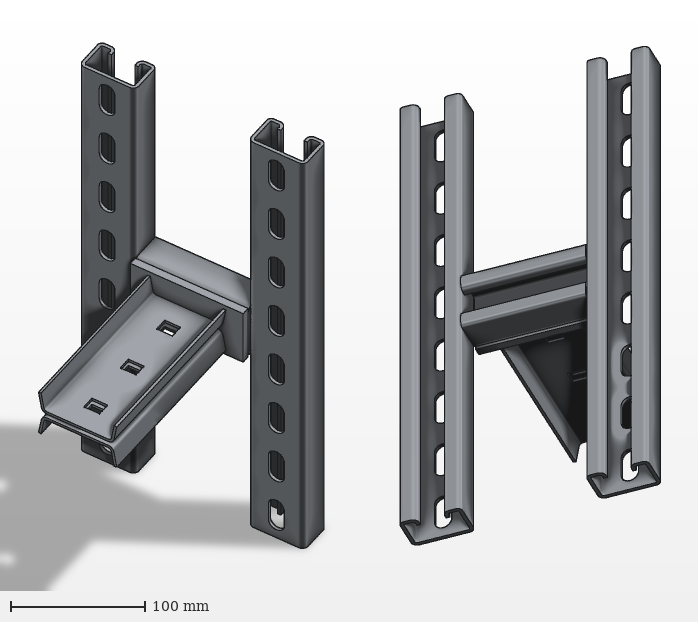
import cadquery as cq
import math


strut_width = 50.0
strut_depth = 29.8
strut_wall = 2.98
strut_opening = 20.5
lip_length = 7.5
inner_bend_radius = 2.0
outer_bend_radius = strut_wall + inner_bend_radius
back_bend_radius = 4.0

post_height = 397
crossbar_length = 100.0

slot_count = 8
slot_pitch = 50.0
slot_length = 30.0
slot_width = 14.0

plate_width = crossbar_length
plate_height = strut_width
plate_thickness = 6.7

arm_length = 150.0
arm_wall = 2.5
arm_height = 19.0
arm_tip_width = 69.5
arm_flange_lean = 10
arm_bend_radius = 5.5
arm_gap = 4.0

hole_count = 3
hole_pitch = arm_length / hole_count
hole_width = 14.0
hole_length = 11.0


def toward(start, end, distance):
    """Point at the given distance from start on the way to end."""
    ratio = distance / math.dist(start, end)
    return (start[0] + (end[0] - start[0]) * ratio, start[1] + (end[1] - start[1]) * ratio)


def left_normal(start, end):
    """Unit vector at 90 degrees to the left of the direction from start to end."""
    length = math.dist(start, end)
    return ((start[1] - end[1]) / length, (end[0] - start[0]) / length)


def shifted(point, direction, distance):
    """Point moved by the given distance along a unit vector."""
    return (point[0] + direction[0] * distance, point[1] + direction[1] * distance)


def folded_sheet(workplane, centreline, bend_radii, wall, length):
    """Extrude a bent sheet whose mid-thickness line follows the centreline.

    Every corner between its ends turns left, and bend_radii lists their outer radii in order.
    """
    inner_arcs = []
    outer_arcs = []
    corners = zip(centreline, centreline[1:], centreline[2:], bend_radii)
    for before, corner, after, outer_radius in corners:
        middle_radius = outer_radius - wall / 2
        entry_normal = left_normal(before, corner)
        exit_normal = left_normal(corner, after)
        half_turn = math.acos(entry_normal[0] * exit_normal[0] + entry_normal[1] * exit_normal[1]) / 2
        entry_point = toward(corner, before, middle_radius * math.tan(half_turn))
        centre = shifted(entry_point, entry_normal, middle_radius)
        exit_point = shifted(centre, exit_normal, -middle_radius)
        middle_normal = left_normal(entry_point, exit_point)
        normals = (entry_normal, middle_normal, exit_normal)
        outer_arcs.append([shifted(centre, normal, -outer_radius) for normal in normals])
        inner_arcs.append([shifted(centre, normal, wall - outer_radius) for normal in normals])

    start_normal = left_normal(*centreline[:2])
    end_normal = left_normal(*centreline[-2:])
    outline = workplane.moveTo(*shifted(centreline[0], start_normal, -wall / 2))
    for start, middle, end in outer_arcs:
        outline = outline.lineTo(*start).threePointArc(middle, end)
    outline = outline.lineTo(*shifted(centreline[-1], end_normal, -wall / 2))
    outline = outline.lineTo(*shifted(centreline[-1], end_normal, wall / 2))
    for start, middle, end in reversed(inner_arcs):
        outline = outline.lineTo(*end).threePointArc(middle, start)
    outline = outline.lineTo(*shifted(centreline[0], start_normal, wall / 2))
    return outline.close().extrude(length / 2, both=True)


def strut(plane, length):
    """C section lying on its web, with local y pointing from the web to the open back."""
    side = (strut_width - strut_wall) / 2
    lip = (strut_opening + strut_wall) / 2
    web = strut_wall / 2
    back = strut_depth - strut_wall / 2
    lip_end = strut_depth - lip_length
    centreline = [
        (-lip, lip_end),
        (-lip, back),
        (-side, back),
        (-side, web),
        (side, web),
        (side, back),
        (lip, back),
        (lip, lip_end),
    ]
    left_half_bends = [outer_bend_radius, back_bend_radius, outer_bend_radius]
    bend_radii = left_half_bends + left_half_bends[::-1]
    return folded_sheet(cq.Workplane(plane), centreline, bend_radii, strut_wall, length)


def post(centre_x):
    """Upright strut with a row of slots through its web."""
    slots = (
        cq.Workplane("XZ")
        .rarray(4, slot_pitch, 1, slot_count)
        .slot2D(slot_length, slot_width, 90)
        .extrude(-2 * strut_wall)
    )
    return strut(cq.Plane.XY(), post_height).cut(slots).translate((centre_x, 0, 0))


def crossbar():
    """Strut lying along X between the posts, open at the back like them."""
    along_x = cq.Plane(origin=(0, 0, 0), xDir=(0, 0, -1), normal=(1, 0, 0))
    return strut(along_x, crossbar_length)


def mounting_plate():
    """Flat plate lying against the web of the crossbar."""
    plate = cq.Workplane("XY").box(plate_width, plate_thickness, plate_height)
    return plate.translate((0, -plate_thickness / 2, 0))


def upper_arm():
    """Flared channel running forward from the plate, web down and flanges up."""
    lean = math.radians(arm_flange_lean)
    web = arm_wall / 2
    tip_x = arm_tip_width / 2 - arm_wall / 2 * math.cos(lean)
    tip_z = arm_height - arm_wall / 2 * math.sin(lean)
    corner_x = tip_x - (tip_z - web) * math.tan(lean)
    centreline = [(-tip_x, tip_z), (-corner_x, web), (corner_x, web), (tip_x, tip_z)]
    channel = folded_sheet(cq.Workplane("XZ"), centreline, [arm_bend_radius] * 2, arm_wall, arm_length)
    holes = (
        cq.Workplane("XY")
        .rarray(4, hole_pitch, 1, hole_count)
        .rect(hole_width, hole_length)
        .extrude(2 * arm_wall)
    )
    return channel.cut(holes).translate((0, -plate_thickness - arm_length / 2, arm_gap / 2))


post_spacing = crossbar_length + strut_width
posts = [post(side * post_spacing / 2) for side in (-1, 1)]
arms = [upper_arm(), upper_arm().mirror("XY")]
bodies = [*posts, crossbar(), mounting_plate(), *arms]

result = cq.Compound.makeCompound([body.val() for body in bodies])